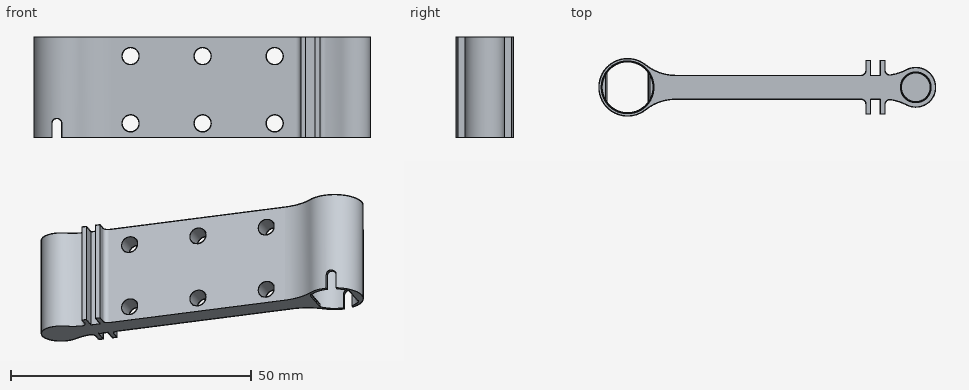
import cadquery as cq
import math

height = 21.0
bar_half_width = 2.5

large_radius = 6.0
large_bore_radius = 5.3

small_ring_x = 60.0
small_radius = 4.15
small_bore_radius = 3.0
socket_floor = 1.0

rim_chamfer = 0.2

blend_radius = 10.0

fin_start_x = 49.6
fin_thickness = 1.0
fin_gap = 2.0
fin_half_span = 5.6
fin_fillet = 1.0

ledge_half_gap = 4.25
ledge_height = 1.0
ledge_chamfer = 0.4

slot_x = -1.2
slot_width = 2.0
slot_height = 4.0

hole_diameter = 3.5
hole_start_x = 14.15
hole_pitch_x = 15.0
hole_columns = 3
hole_rows_z = (3.0, 17.0)


def blend_offset(ring_radius):
    """Distance along X from a ring centre to the centre of its blend arc."""
    return math.sqrt((ring_radius + blend_radius) ** 2 - (bar_half_width + blend_radius) ** 2)


def point_between(start, end, distance):
    """Point at a given distance from start on the line towards end."""
    share = distance / math.dist(start, end)
    return (start[0] + share * (end[0] - start[0]), start[1] + share * (end[1] - start[1]))


def arc_middle(center, radius, start, end):
    """Middle point of the shorter arc from start to end."""
    chord_middle = ((start[0] + end[0]) / 2, (start[1] + end[1]) / 2)
    return point_between(center, chord_middle, radius)


def body_block():
    """Rings, bar and fins in one extrusion, symmetric about the X axis."""
    large_center = (0.0, 0.0)
    small_center = (small_ring_x, 0.0)
    blend_y = bar_half_width + blend_radius
    large_blend = (blend_offset(large_radius), blend_y)
    small_blend = (small_ring_x - blend_offset(small_radius), blend_y)
    large_tangent = point_between(large_center, large_blend, large_radius)
    small_tangent = point_between(small_center, small_blend, small_radius)
    bar_start = (large_blend[0], bar_half_width)

    inner_fin_end = fin_start_x + fin_thickness
    outer_fin_start = inner_fin_end + fin_gap
    outer_fin_end = outer_fin_start + fin_thickness

    near_fillet = (fin_start_x - fin_fillet, bar_half_width + fin_fillet)
    near_fillet_start = (near_fillet[0], bar_half_width)
    near_fillet_end = (fin_start_x, near_fillet[1])

    far_fillet_x = outer_fin_end + fin_fillet
    far_fillet_drop = math.sqrt((blend_radius - fin_fillet) ** 2 - (far_fillet_x - small_blend[0]) ** 2)
    far_fillet = (far_fillet_x, blend_y - far_fillet_drop)
    far_fillet_start = (outer_fin_end, far_fillet[1])
    far_fillet_end = point_between(small_blend, far_fillet, blend_radius)

    outline = (
        cq.Workplane("XY")
        .moveTo(-large_radius, 0)
        .threePointArc((0, large_radius), large_tangent)
        .threePointArc(arc_middle(large_blend, blend_radius, large_tangent, bar_start), bar_start)
        .lineTo(*near_fillet_start)
        .threePointArc(
            arc_middle(near_fillet, fin_fillet, near_fillet_start, near_fillet_end), near_fillet_end
        )
        .lineTo(fin_start_x, fin_half_span)
        .lineTo(inner_fin_end, fin_half_span)
        .lineTo(inner_fin_end, bar_half_width)
        .lineTo(outer_fin_start, bar_half_width)
        .lineTo(outer_fin_start, fin_half_span)
        .lineTo(outer_fin_end, fin_half_span)
        .lineTo(*far_fillet_start)
        .threePointArc(
            arc_middle(far_fillet, fin_fillet, far_fillet_start, far_fillet_end), far_fillet_end
        )
        .threePointArc(
            arc_middle(small_blend, blend_radius, far_fillet_end, small_tangent), small_tangent
        )
        .threePointArc((small_ring_x, small_radius), (small_ring_x + small_radius, 0))
        .mirrorX()
    )
    return outline.extrude(height, clean=False)


def bore(center_x, radius, floor_z):
    """Cutter for a vertical bore with a chamfered top rim."""
    rim_radius = radius + rim_chamfer
    profile = (
        cq.Workplane("XZ")
        .moveTo(0, floor_z)
        .lineTo(radius, floor_z)
        .lineTo(radius, height - rim_chamfer)
        .lineTo(rim_radius, height)
        .lineTo(0, height)
        .close()
    )
    return profile.revolve(360, (0, 0, 0), (0, 1, 0)).translate((center_x, 0, 0))


def ledge(side):
    """Block with a chamfered top inner edge, on the -X (side = -1) or +X (side = 1) side of the bore."""
    return (
        cq.Workplane("XZ")
        .moveTo(side * ledge_half_gap, 0)
        .lineTo(side * large_radius, 0)
        .lineTo(side * large_radius, ledge_height)
        .lineTo(side * (ledge_half_gap + ledge_chamfer), ledge_height)
        .lineTo(side * ledge_half_gap, ledge_height - ledge_chamfer)
        .close()
        .extrude(large_radius, both=True)
    )


def large_bore():
    """Cutter for the through bore of the large ring, narrowed by the two ledges."""
    return bore(0, large_bore_radius, 0).cut(ledge(-1)).cut(ledge(1))


def small_bore():
    """Cutter for the blind bore of the small ring."""
    return bore(small_ring_x, small_bore_radius, socket_floor)


def wall_slot():
    """Cutter for the round-topped slot through the front and back ring walls."""
    half_width = slot_width / 2
    spring_z = slot_height - half_width
    return (
        cq.Workplane("XZ")
        .moveTo(slot_x - half_width, 0)
        .lineTo(slot_x - half_width, spring_z)
        .threePointArc((slot_x, slot_height), (slot_x + half_width, spring_z))
        .lineTo(slot_x + half_width, 0)
        .close()
        .extrude(large_radius, both=True)
    )


def cross_holes():
    """Cutter for two rows of holes through the bar."""
    centers = [
        (hole_start_x + column * hole_pitch_x, z)
        for column in range(hole_columns)
        for z in hole_rows_z
    ]
    return (
        cq.Workplane("XZ")
        .pushPoints(centers)
        .circle(hole_diameter / 2)
        .extrude(large_radius, both=True)
    )


result = body_block()
for cutter in (large_bore(), small_bore(), wall_slot(), cross_holes()):
    result = result.cut(cutter, clean=False)